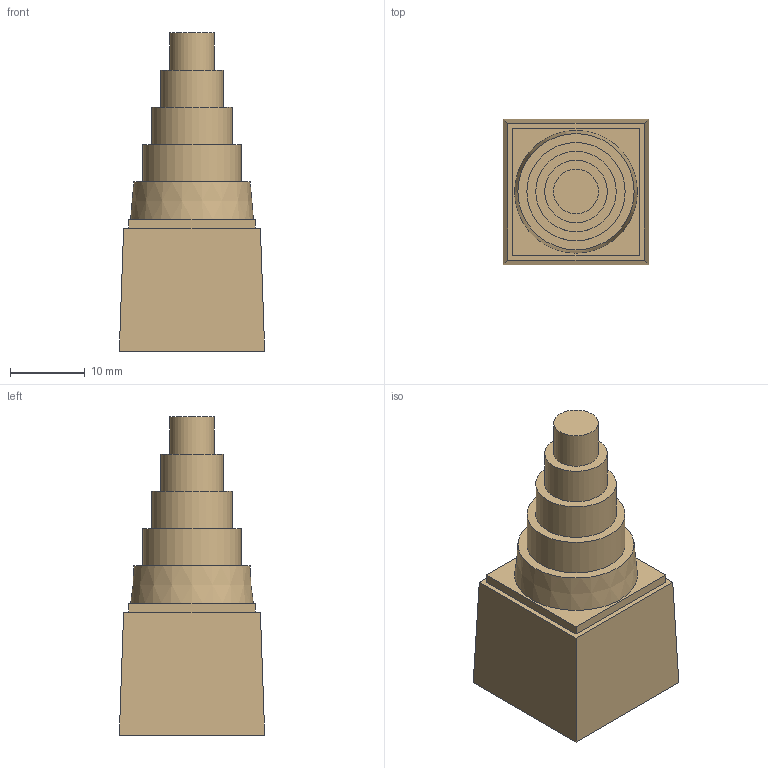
import cadquery as cq
import math

base_side = 19.51
base_height = 16.5
base_draft_deg = 2.0

plinth_side = 17.0
plinth_height = 1.2

tier_height = 5.0
cylinder_count = 4
top_diameter = 6.0
diameter_step = 2.4
cone_draft_deg = 5.0

cone_top_diameter = top_diameter + cylinder_count * diameter_step
cone_bottom_diameter = cone_top_diameter + 2 * tier_height * math.tan(math.radians(cone_draft_deg))
plinth_bottom = base_height
cone_bottom = plinth_bottom + plinth_height


def make_base():
    return cq.Workplane("XY").rect(base_side, base_side).extrude(base_height, taper=base_draft_deg)


def make_plinth():
    plane = cq.Workplane("XY").workplane(offset=plinth_bottom)
    return plane.rect(plinth_side, plinth_side).extrude(plinth_height)


def make_cone():
    plane = cq.Workplane("XY").workplane(offset=cone_bottom)
    return plane.circle(cone_bottom_diameter / 2).extrude(tier_height, taper=cone_draft_deg)


def make_cylinder(tier):
    """Cylindrical tier, counted upward from 1 just above the cone."""
    diameter = cone_top_diameter - tier * diameter_step
    plane = cq.Workplane("XY").workplane(offset=cone_bottom + tier * tier_height)
    return plane.circle(diameter / 2).extrude(tier_height)


result = make_base().union(make_plinth()).union(make_cone())
for tier in range(1, cylinder_count + 1):
    result = result.union(make_cylinder(tier))